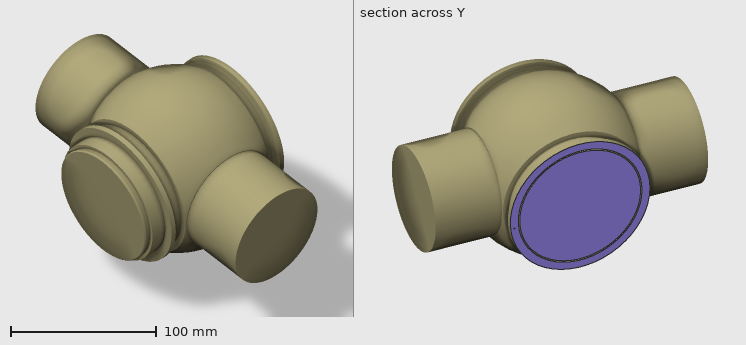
import cadquery as cq
import math

length = 203.7
ball_radius = 130.2 / 2
pipe_radius = 76.2 / 2

flange_radius = 104.7 / 2
kink_radius = 49.7
neck_radius = 95.3 / 2
plug_radius = 90.7 / 2
groove_radius = 84.7 / 2
rim_radius = 86.0 / 2

flange_recess_radius = 46.0
plug_recess_radius = 43.8
recess_depth = 0.6

flange_face = 52.4
flange_width = 3.9
flange_taper = 2.5
kink_offset = 0.8
plug_face = 63.8
groove_flare = 65.4
rim_back = 67.0
end_face = 68.5
rim_chamfer = 0.6

hub_flat = 39.1
pipe_flat = 52.4


def make_ball():
    """Ball trimmed flat where the pipes and the hubs leave it."""
    hub_flat_radius = math.sqrt(ball_radius**2 - hub_flat**2)
    ball = (
        cq.Workplane("XY")
        .moveTo(0, -hub_flat)
        .lineTo(hub_flat_radius, -hub_flat)
        .threePointArc((ball_radius, 0), (hub_flat_radius, hub_flat))
        .lineTo(0, hub_flat)
        .close()
        .revolve(360, (0, 0, 0), (0, 1, 0))
    )
    trim = cq.Workplane("XY").box(2 * pipe_flat, 3 * ball_radius, 3 * ball_radius)
    return ball.intersect(trim)


def make_pipes():
    """Solid cylinder through the ball along X."""
    return cq.Workplane("YZ").circle(pipe_radius).extrude(length / 2, both=True)


def make_hubs():
    """Necks, tapered flanges and front plug, revolved about Y."""
    taper_start = flange_face - flange_width
    taper_end = taper_start - flange_taper
    kink = taper_start - kink_offset
    flange_recess_floor = flange_face - recess_depth
    plug_recess_floor = plug_face - recess_depth
    profile = [
        (0, flange_face),
        (flange_radius, flange_face),
        (flange_radius, taper_start),
        (kink_radius, kink),
        (neck_radius, taper_end),
        (neck_radius, -taper_end),
        (kink_radius, -kink),
        (flange_radius, -taper_start),
        (flange_radius, -flange_face),
        (flange_recess_radius, -flange_face),
        (flange_recess_radius, -flange_recess_floor),
        (plug_radius, -flange_recess_floor),
        (plug_radius, -plug_face),
        (plug_recess_radius, -plug_face),
        (plug_recess_radius, -plug_recess_floor),
        (groove_radius, -plug_recess_floor),
        (groove_radius, -groove_flare),
        (rim_radius, -rim_back),
        (rim_radius, -end_face + rim_chamfer),
        (rim_radius - rim_chamfer, -end_face),
        (0, -end_face),
    ]
    return cq.Workplane("XY").polyline(profile).close().revolve(360, (0, 0, 0), (0, 1, 0))


result = make_ball().union(make_pipes()).union(make_hubs())